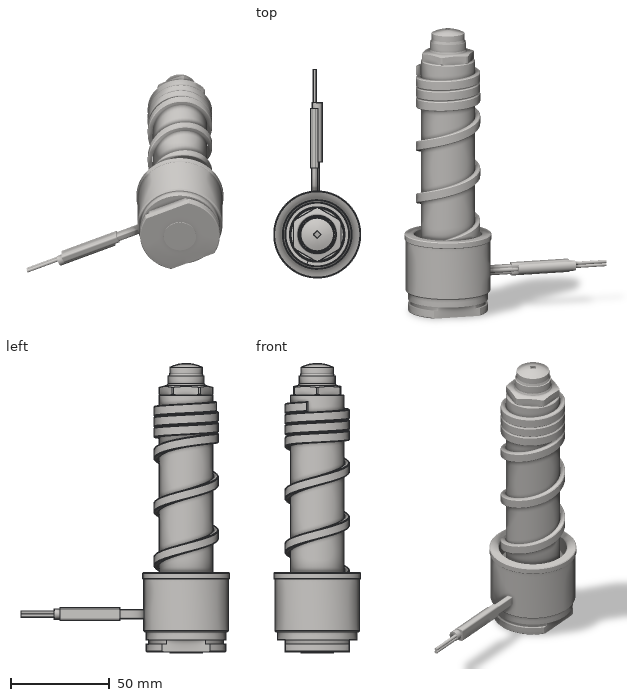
import cadquery as cq
import math

RIM_RADIUS = 22.0
RIM_BOTTOM_Z = 37.2
RIM_TOP_Z = 40.5
BODY_RADIUS = 21.5
BODY_BOTTOM_Z = 10.5
BODY_CHAMFER = 0.7
EDGE_CHAMFER = 0.4
BORE_RADIUS = 17.2
BORE_FLOOR_Z = 31.0

FOOT_RADIUS = 20.2
GROOVE_RADIUS = 19.0
GROOVE_BOTTOM_Z = 4.4
GROOVE_TOP_Z = 6.5
FOOT_BOTTOM_Z = 0.4
FLAT_DISTANCE = 16.2
PAD_RADIUS = 8.2

TUBE_RADIUS = 13.6
TUBE_TOP_Z = 130.4

HEX_ACROSS_FLATS = 24.0
HEX_SIDE_TOP_Z = 134.6
HEX_TOP_Z = 135.2
FLARE_RADIUS = 9.7
NECK_RADIUS = 9.15
NECK_BOTTOM_Z = 136.1
NECK_TOP_Z = 140.0
CAP_RADIUS = 8.25
CAP_FOOT_RADIUS = 8.6
CAP_FOOT_TOP_Z = 141.3
DOME_BASE_Z = 144.3
TOTAL_HEIGHT = 146.3
SOCKET_SIDE = 2.7
SOCKET_DEPTH = 1.2

SPRING_OUTER_RADIUS = 16.3
SPRING_INNER_RADIUS = 14.0
SPRING_WIRE_HEIGHT = 4.9
SPRING_EDGE_CHAMFER = 0.4
CLOSED_PITCH = 5.38
OPEN_PITCH = 27.1
SPRING_TOP_Z = 124.5
SPRING_TOP_ANGLE = 250.8
CLOSED_SWEEP = 1092.8
BLEND_SWEEP = 113.0
SPRING_POINT_STEP = 15.0

CABLE_Z = 19.55
CABLE_OVERLAP = 1.0
LEAD_START_Y = 19.0
LEAD_LEFT_X = -2.95
LEAD_RIGHT_X = 0.2
LEAD_HEIGHT = 4.9
LEAD_LEFT_FILLET = 0.5
LEAD_RIGHT_FILLET = 0.9
CORD_RADIUS = 1.1
CLAMP_START_Y = 33.5
CLAMP_LENGTH = 30.3
CLAMP_LEFT_X = -3.4
CLAMP_RIGHT_X = 0.75
CLAMP_HEIGHT = 6.5
CLAMP_LEFT_FILLET = 0.85
CLAMP_RIGHT_FILLET = 1.5
SLEEVE_START_Y = 36.6
SLEEVE_END_Y = 66.7
SLEEVE_RADIUS = 2.6
WIRE_END_Y = 83.5
WIRE_RADIUS = 0.82
WIRE_X = -1.3


def cylinder(radius, bottom, top):
    return cq.Workplane("XY").workplane(offset=bottom).circle(radius).extrude(top - bottom)


def make_housing():
    """Cup with a wider rim and an open bore that holds the lower end of the spring."""
    rim = cylinder(RIM_RADIUS, RIM_BOTTOM_Z, RIM_TOP_Z).edges().chamfer(EDGE_CHAMFER)
    body = cylinder(BODY_RADIUS, BODY_BOTTOM_Z, RIM_TOP_Z - EDGE_CHAMFER)
    body = body.faces("<Z").edges().chamfer(BODY_CHAMFER)
    bore = cylinder(BORE_RADIUS, BORE_FLOOR_Z, RIM_TOP_Z)
    housing = rim.union(body).cut(bore)
    bore_edge = housing.faces(">Z").edges(cq.selectors.RadiusNthSelector(0))
    return bore_edge.chamfer(EDGE_CHAMFER)


def make_foot():
    """Collar with a grooved flange below it, cut to two flats facing -X and +X."""
    collar = cylinder(FOOT_RADIUS, GROOVE_TOP_Z, BODY_BOTTOM_Z)
    flange = cylinder(FOOT_RADIUS, FOOT_BOTTOM_Z, GROOVE_BOTTOM_Z)
    flange = flange.faces("<Z").edges().chamfer(EDGE_CHAMFER)
    base = flange.union(cylinder(GROOVE_RADIUS, GROOVE_BOTTOM_Z, GROOVE_TOP_Z))
    between_flats = cq.Workplane("XY").rect(2 * FLAT_DISTANCE, 2 * FOOT_RADIUS).extrude(GROOVE_TOP_Z)
    pad = cylinder(PAD_RADIUS, 0, FOOT_BOTTOM_Z)
    return collar.union(base.intersect(between_flats)).union(pad)


def make_tube():
    tube = cylinder(TUBE_RADIUS, BODY_BOTTOM_Z, TUBE_TOP_Z)
    return tube.faces(">Z").edges().chamfer(EDGE_CHAMFER)


def make_hexagon():
    """Hexagon with corners along Y, its corners turned down and its top face coned."""
    across_corners = HEX_ACROSS_FLATS / math.cos(math.pi / 6)
    prism = (
        cq.Workplane("XY")
        .workplane(offset=TUBE_TOP_Z)
        .transformed(rotate=(0, 0, 90))
        .polygon(6, across_corners)
        .extrude(HEX_TOP_Z - TUBE_TOP_Z)
    )
    turned_outline = (
        cq.Workplane("XZ")
        .moveTo(0, TUBE_TOP_Z)
        .lineTo(TUBE_RADIUS - EDGE_CHAMFER, TUBE_TOP_Z)
        .lineTo(TUBE_RADIUS, TUBE_TOP_Z + EDGE_CHAMFER)
        .lineTo(TUBE_RADIUS, HEX_SIDE_TOP_Z - EDGE_CHAMFER)
        .lineTo(FLARE_RADIUS, HEX_TOP_Z)
        .lineTo(0, HEX_TOP_Z)
        .close()
        .revolve(360, (0, 0), (0, 1))
    )
    return prism.intersect(turned_outline)


def make_head():
    """Flared neck and domed cap with a square socket turned 45 degrees."""
    dome_rise = TOTAL_HEIGHT - DOME_BASE_Z
    dome_radius = (CAP_RADIUS**2 + dome_rise**2) / (2 * dome_rise)
    mid_radius = CAP_RADIUS / 2
    mid_z = TOTAL_HEIGHT - dome_radius + math.sqrt(dome_radius**2 - mid_radius**2)
    head = (
        cq.Workplane("XZ")
        .moveTo(0, HEX_TOP_Z)
        .lineTo(FLARE_RADIUS, HEX_TOP_Z)
        .lineTo(NECK_RADIUS, NECK_BOTTOM_Z)
        .lineTo(NECK_RADIUS, NECK_TOP_Z)
        .lineTo(CAP_FOOT_RADIUS, NECK_TOP_Z)
        .lineTo(CAP_RADIUS, CAP_FOOT_TOP_Z)
        .lineTo(CAP_RADIUS, DOME_BASE_Z)
        .threePointArc((mid_radius, mid_z), (0, TOTAL_HEIGHT))
        .close()
        .revolve(360, (0, 0), (0, 1))
    )
    socket = (
        cq.Workplane("XY")
        .workplane(offset=TOTAL_HEIGHT - SOCKET_DEPTH)
        .transformed(rotate=(0, 0, 45))
        .rect(SOCKET_SIDE, SOCKET_SIDE)
        .extrude(SOCKET_DEPTH)
    )
    return head.cut(socket)


def spring_drop(sweep):
    """Height lost by the wire centre after winding down through `sweep` degrees."""
    closed = min(sweep, CLOSED_SWEEP)
    blend = min(max(sweep - CLOSED_SWEEP, 0), BLEND_SWEEP)
    opened = max(sweep - CLOSED_SWEEP - BLEND_SWEEP, 0)
    blend_pitch = CLOSED_PITCH + (OPEN_PITCH - CLOSED_PITCH) * blend / BLEND_SWEEP / 2
    return (closed * CLOSED_PITCH + blend * blend_pitch + opened * OPEN_PITCH) / 360


def spring_sweep():
    """Degrees of winding from the upper end until the wire sinks into the bore floor."""
    guided_sweep = CLOSED_SWEEP + BLEND_SWEEP
    end_z = BORE_FLOOR_Z - SPRING_WIRE_HEIGHT / 2
    open_drop = SPRING_TOP_Z - spring_drop(guided_sweep) - end_z
    return guided_sweep + 360 * open_drop / OPEN_PITCH


def spring_edge(radius, height_offset):
    """Winding curve followed by one corner of the wire section."""
    total_sweep = spring_sweep()
    steps = math.ceil(total_sweep / SPRING_POINT_STEP)
    points = []
    for i in range(steps + 1):
        sweep = total_sweep * i / steps
        angle = math.radians(SPRING_TOP_ANGLE - sweep)
        z = SPRING_TOP_Z + height_offset - spring_drop(sweep)
        points.append(cq.Vector(radius * math.cos(angle), radius * math.sin(angle), z))
    return cq.Edge.makeSpline(points)


def make_spring():
    """Wire of rectangular section with bevelled outer corners, skinned between its corner curves."""
    half_height = SPRING_WIRE_HEIGHT / 2
    bevel_radius = SPRING_OUTER_RADIUS - SPRING_EDGE_CHAMFER
    bevel_height = half_height - SPRING_EDGE_CHAMFER
    section = [
        (SPRING_INNER_RADIUS, -half_height),
        (bevel_radius, -half_height),
        (SPRING_OUTER_RADIUS, -bevel_height),
        (SPRING_OUTER_RADIUS, bevel_height),
        (bevel_radius, half_height),
        (SPRING_INNER_RADIUS, half_height),
    ]
    curves = [spring_edge(radius, offset) for radius, offset in section]
    faces = []
    for i, curve in enumerate(curves):
        faces.append(cq.Face.makeRuledSurface(curves[i - 1], curve))
    for end in (0, 1):
        corners = [curve.positionAt(end) for curve in curves]
        faces.append(cq.Face.makeFromWires(cq.Wire.makePolygon(corners, close=True)))
    spring = cq.Solid.makeSolid(cq.Shell.makeShell(faces))
    return cq.Workplane("XY").newObject([spring.fix()])


def rounded_bar(left, right, height, start, length, left_fillet, right_fillet):
    """Bar along +Y, centred on the cable height, with its own fillet on each side."""
    bar = (
        cq.Workplane("XY")
        .box(right - left, length, height, centered=(False, False, True))
        .translate((left, start, CABLE_Z))
    )
    bar = bar.faces("<X").edges("|Y").fillet(left_fillet)
    return bar.faces(">X").edges("|Y").fillet(right_fillet)


def rod(radius, x, z, start, end):
    """Round bar along +Y."""
    return cq.Workplane("XZ", origin=(x, start, z)).circle(radius).extrude(start - end)


def make_cable():
    """Flat lead held by a clamp, beside a round cord in a sleeve that releases two wires."""
    lead = rounded_bar(
        LEAD_LEFT_X,
        LEAD_RIGHT_X,
        LEAD_HEIGHT,
        LEAD_START_Y,
        CLAMP_START_Y + CABLE_OVERLAP - LEAD_START_Y,
        LEAD_LEFT_FILLET,
        LEAD_RIGHT_FILLET,
    )
    clamp = rounded_bar(
        CLAMP_LEFT_X,
        CLAMP_RIGHT_X,
        CLAMP_HEIGHT,
        CLAMP_START_Y,
        CLAMP_LENGTH,
        CLAMP_LEFT_FILLET,
        CLAMP_RIGHT_FILLET,
    )
    cord = rod(CORD_RADIUS, 0, CABLE_Z, LEAD_START_Y, SLEEVE_START_Y + CABLE_OVERLAP)
    sleeve = rod(SLEEVE_RADIUS, 0, CABLE_Z, SLEEVE_START_Y, SLEEVE_END_Y)
    cable = lead.union(cord).union(clamp).union(sleeve)
    for side in (-1, 1):
        wire_z = CABLE_Z + side * WIRE_RADIUS
        cable = cable.union(rod(WIRE_RADIUS, WIRE_X, wire_z, SLEEVE_END_Y - CABLE_OVERLAP, WIRE_END_Y))
    return cable


result = make_housing().union(make_foot()).union(make_tube())
result = result.union(make_hexagon()).union(make_head())
result = result.union(make_cable()).union(make_spring())